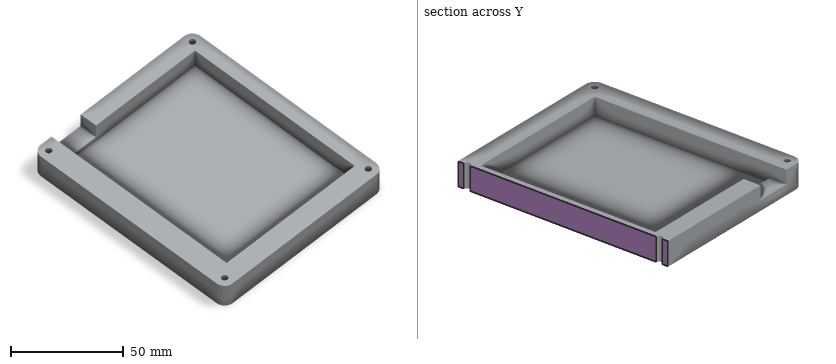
import cadquery as cq

length = 119.7
width = 101.7
height = 13.0
corner_radius = 5.0

wall_left = 9.6
wall_right = 10.5
wall_front = 12.0
wall_back = 8.0
pocket_depth = 10.0

notch_width = 18.5
notch_depth = 7.5

hole_diameter = 3.4


def box_from_corner(x, y, size_x, size_y, depth):
    """Box cut down from the top face, placed by its front left corner."""
    return (
        cq.Workplane("XY")
        .box(size_x, size_y, depth, centered=False)
        .translate((x, y, height - depth))
    )


block = (
    cq.Workplane("XY")
    .box(length, width, height, centered=(True, True, False))
    .edges("|Z")
    .fillet(corner_radius)
)

left_x = -length / 2
pocket_x = left_x + wall_left
pocket_y = -width / 2 + wall_front
pocket_length = length - wall_left - wall_right
pocket_width = width - wall_front - wall_back

pocket = box_from_corner(pocket_x, pocket_y, pocket_length, pocket_width, pocket_depth)
notch = box_from_corner(left_x, pocket_y, wall_left, notch_width, notch_depth)

holes = (
    cq.Workplane("XY")
    .rect(length - 2 * corner_radius, width - 2 * corner_radius, forConstruction=True)
    .vertices()
    .circle(hole_diameter / 2)
    .extrude(height)
)

result = block.cut(pocket).cut(notch).cut(holes)